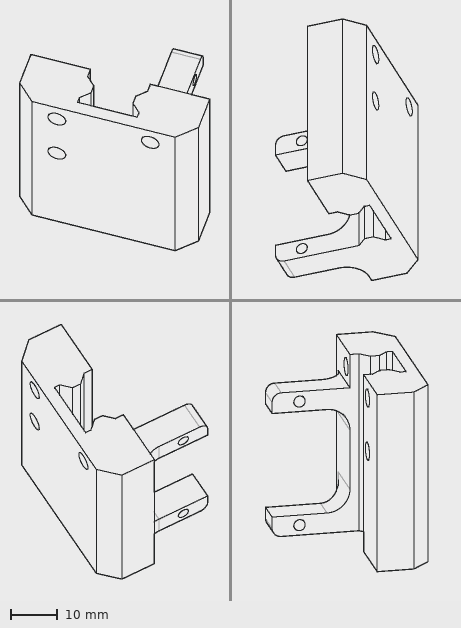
import cadquery as cq

width = 40.0
height = 40.0
body_depth = 12.0
total_depth = 29.0
front_chamfer = 4.0

channel_half_width = 6.7
channel_floor = 2.7
rail_height = 2.0
rail_start = 4.0
rail_slope = 2.0
rail_flat = 2.0

lug_width = 6.5
lug_thickness = 4.55
upper_lug_top = 32.5
lug_root_radius = 5.0
lug_inner_radius = 5.0
lug_tip_radius = 2.0
pin_diameter = 2.5
pin_y = 23.0

mount_diameter = 3.9
mount_x = 10.45
mount_top_z = height - 4.0
mount_low_z = 24.0


def channel_side(side):
    """Points of one channel wall, from floor to open end; side is -1 or 1."""
    wall = side * channel_half_width
    crest = side * (channel_half_width - rail_height)
    crest_start = rail_start + rail_slope
    crest_end = crest_start + rail_flat
    return [
        (wall, channel_floor),
        (wall, rail_start),
        (crest, crest_start),
        (crest, crest_end),
        (wall, crest_end + rail_slope),
        (wall, body_depth),
    ]


def make_body():
    block = cq.Workplane("XY").box(width, body_depth, height, centered=(True, False, False))
    block = block.edges("|Z and <Y").chamfer(front_chamfer)
    outline = channel_side(-1)[::-1] + channel_side(1)
    channel = cq.Workplane("XY").polyline(outline).close().extrude(height)
    return block.cut(channel)


def make_lugs():
    """Lugs as the overlap of a plan outline and a side outline."""
    inner_x = channel_half_width
    outer_x = inner_x + lug_width
    plan = (
        cq.Workplane("XY")
        .moveTo(inner_x, body_depth)
        .lineTo(inner_x, total_depth)
        .lineTo(outer_x, total_depth)
        .lineTo(outer_x, body_depth + lug_root_radius)
        .radiusArc((outer_x + lug_root_radius, body_depth), -lug_root_radius)
        .close()
        .extrude(upper_lug_top)
    )
    lug_depth = total_depth - body_depth
    side = (
        cq.Workplane("XY")
        .box(width, lug_depth, upper_lug_top, centered=(True, False, False))
        .edges("|X and >Y")
        .fillet(lug_tip_radius)
        .translate((0, body_depth, 0))
    )
    gap = (
        cq.Workplane("XY")
        .box(width, lug_depth, upper_lug_top - 2 * lug_thickness, centered=(True, False, False))
        .edges("|X and <Y")
        .fillet(lug_inner_radius)
        .translate((0, body_depth, lug_thickness))
    )
    pin_z_positions = (lug_thickness / 2, upper_lug_top - lug_thickness / 2)
    pins = (
        cq.Workplane("YZ")
        .pushPoints([(pin_y, z) for z in pin_z_positions])
        .circle(pin_diameter / 2)
        .extrude(width)
    )
    return plan.intersect(side).cut(gap).cut(pins)


def make_mount_holes():
    places = [(-mount_x, mount_top_z), (mount_x, mount_top_z), (-mount_x, mount_low_z)]
    return cq.Workplane("XZ").pushPoints(places).circle(mount_diameter / 2).extrude(-body_depth)


result = make_body().union(make_lugs()).cut(make_mount_holes())